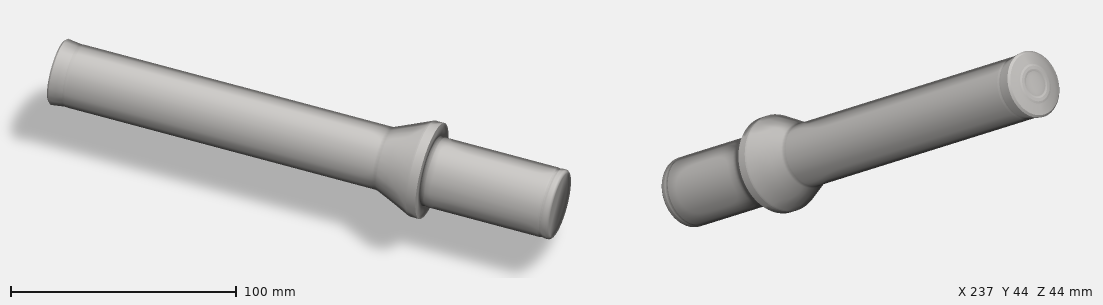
import cadquery as cq

length = 237.0
left = -length / 2
right = length / 2
cap_length = 8.0
rod_end = left + 154.0
cone_start = left + 156.0
flange_start = left + 172.5
flange_end = left + 176.8

rod_radius = 29.0 / 2
flange_radius = 44.0 / 2
shank_radius = 32.0 / 2
groove_radius = 31.5 / 2
cone_start_radius = 15.0
cap_lip_radius = 15.2
cap_face_radius = 14.2

rod_edge_chamfer = 0.12
rod_edge_length = 1.5
face_rise = 0.5
lip_setback = 1.5
flange_edge_length = 0.7
flange_edge_drop = 0.2
groove_width = 2.1
groove_slope = 0.7
end_groove_offset = 2.8
shank_edge_fillet = 1.5

ring_height = 0.2
ring_outer_radius = 9.0
ring_inner_radius = 5.7
ring_bevel = 1.0


def revolve_about_x(profile):
    """Turn a closed XY profile into a solid about the X axis."""
    return profile.close().revolve(360, (0, 0, 0), (1, 0, 0))


def make_cap():
    """Flared end cap with a slightly conical face and a beveled ring at its center."""
    face = left + ring_height
    flare_start = face + lip_setback
    return revolve_about_x(
        cq.Workplane("XY")
        .moveTo(face, 0)
        .lineTo(face, ring_inner_radius)
        .lineTo(left, ring_inner_radius + ring_bevel)
        .lineTo(left, ring_outer_radius - ring_bevel)
        .lineTo(face, ring_outer_radius)
        .lineTo(face + face_rise, cap_face_radius)
        .lineTo(flare_start, cap_lip_radius)
        .lineTo(left + cap_length, rod_radius - rod_edge_chamfer)
        .lineTo(left + cap_length, 0)
    )


def make_groove(start):
    """Shallow ring of material with sloping sides to cut from the shank."""
    end = start + groove_width
    return revolve_about_x(
        cq.Workplane("XY")
        .moveTo(start, shank_radius)
        .lineTo(start + groove_slope, groove_radius)
        .lineTo(end - groove_slope, groove_radius)
        .lineTo(end, shank_radius)
    )


def make_holder():
    """Rod, conical flange and grooved shank in one turned piece."""
    start = left + cap_length
    body = revolve_about_x(
        cq.Workplane("XY")
        .moveTo(start, 0)
        .lineTo(start, rod_radius - rod_edge_chamfer)
        .lineTo(start + rod_edge_length, rod_radius)
        .lineTo(rod_end, rod_radius)
        .tangentArcPoint((cone_start, cone_start_radius), relative=False)
        .lineTo(flange_start - flange_edge_length, flange_radius - flange_edge_drop)
        .lineTo(flange_start, flange_radius)
        .lineTo(flange_end, flange_radius)
        .lineTo(flange_end, shank_radius)
        .lineTo(right, shank_radius)
        .lineTo(right, 0)
    )
    body = body.faces(">X").edges().fillet(shank_edge_fillet)
    end_groove_start = right - end_groove_offset - groove_width
    for groove_start in (flange_end, end_groove_start):
        body = body.cut(make_groove(groove_start))
    return body


cap = make_cap()
holder = make_holder()
result = cq.Compound.makeCompound([cap.val(), holder.val()])